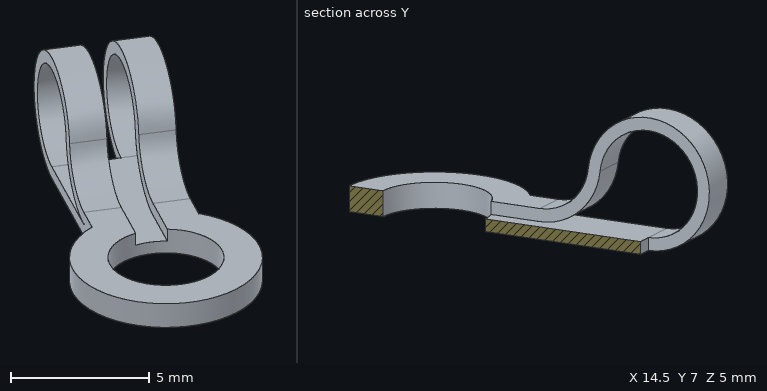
import cadquery as cq
import math

length = 14.49
eye_diameter = 7.0
hole_diameter = 4.2
loop_diameter = 5.0
thickness = 0.49
strap_width = 4.0
slot_width = 1.19
bend_radius = 2.0

loop_radius = loop_diameter / 2
inner_radius = loop_radius - thickness
loop_x = loop_radius
loop_z = loop_radius
eye_x = length - eye_diameter / 2
stack_height = 2 * thickness

bend_z = stack_height + bend_radius
center_distance = loop_radius + bend_radius
bend_x = loop_x + math.sqrt(center_distance**2 - (bend_z - loop_z) ** 2)
tangent_angle = math.atan2(bend_z - loop_z, bend_x - loop_x)


def loop_point(radius, angle):
    """Point on a circle about the loop center, in the XZ plane."""
    return (loop_x + radius * math.cos(angle), loop_z + radius * math.sin(angle))


def bend_point(radius, angle):
    """Point on a circle about the reverse bend center, in the XZ plane."""
    return (bend_x + radius * math.cos(angle), bend_z + radius * math.sin(angle))


def make_box(x_start, x_end, width, z_start, z_end):
    """Box centered across Y."""
    box = cq.Workplane("XY").box(x_end - x_start, width, z_end - z_start, centered=(False, True, False))
    return box.translate((x_start, 0, z_start))


def make_upper_strap():
    """Loop, reverse bend and flat upper layer as one strip of constant thickness."""
    outer_bend_radius = bend_radius + thickness
    bend_start = tangent_angle + math.pi
    bend_middle = (bend_start + 1.5 * math.pi) / 2
    return (
        cq.Workplane("XZ")
        .moveTo(loop_x, 0)
        .threePointArc(loop_point(loop_radius, math.pi), loop_point(loop_radius, tangent_angle))
        .threePointArc(bend_point(bend_radius, bend_middle), (bend_x, stack_height))
        .lineTo(eye_x, stack_height)
        .lineTo(eye_x, thickness)
        .lineTo(bend_x, thickness)
        .threePointArc(bend_point(outer_bend_radius, bend_middle), loop_point(inner_radius, tangent_angle))
        .threePointArc(loop_point(inner_radius, math.pi), (loop_x, thickness))
        .close()
        .extrude(strap_width / 2, both=True)
    )


def make_eye_cylinder(diameter):
    """Cylinder on the eye axis, as tall as both layers."""
    return cq.Workplane("XY").center(eye_x, 0).circle(diameter / 2).extrude(stack_height)


loop_slot = make_box(0, loop_x, slot_width, 0, loop_diameter)
upper_slot = make_box(loop_x, eye_x, slot_width, thickness, loop_diameter)
lower_layer = make_box(loop_x, eye_x, strap_width, 0, thickness)

result = (
    make_upper_strap()
    .union(lower_layer)
    .union(make_eye_cylinder(eye_diameter))
    .cut(loop_slot)
    .cut(upper_slot)
    .cut(make_eye_cylinder(hole_diameter))
)